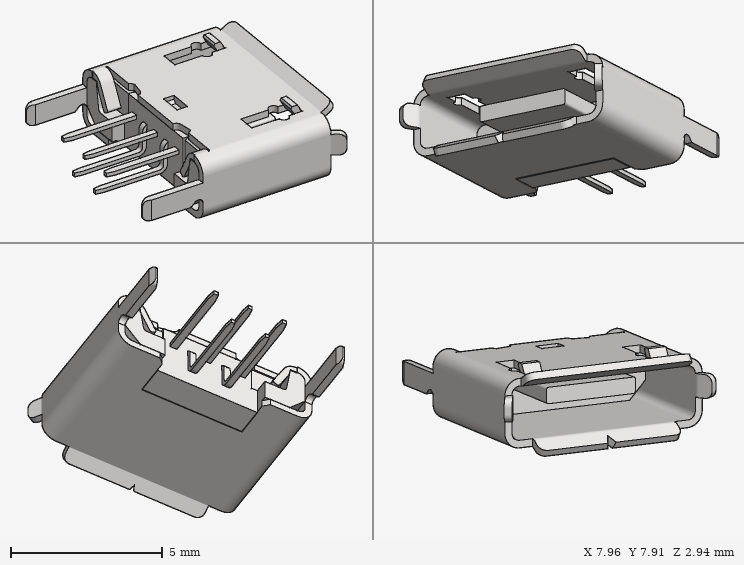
import cadquery as cq
import math


sheet = 0.26
shell_half_width = 3.71
shell_height = 2.365
shell_length = 5.015
corner_radius = 0.56
roof_z = shell_height - sheet
inner_half_width = shell_half_width - sheet

roof_end_y = -4.4
body_rear_y = -4.51
roof_overhang = 0.01
roof_centre_end_y = body_rear_y - roof_overhang
shell_rear_y = -shell_length
roof_flat_half_width = shell_half_width - corner_radius

notch_inner_x = 1.09
notch_arc_middle = (1.13, -4.39)
notch_arc_end = (1.225, -4.33)
notch_peak_x = 1.735
notch_peak_y = -4.25
notch_outer_x = 1.855

lip_bend_radius = 0.02
lip_angle = 31
lip_straight = 0.52
lip_corner_radius = 0.28
top_lip_width = 6.19
bottom_lip_width = 5.35
side_lip_width = 0.81
side_lip_z = 1.42
seam_half_width = 0.15

latch_x = 2.37
latch_width = 0.67
latch_front_y = -0.46
latch_rear_y = -2.47
latch_ear_y = -1.2
latch_ear_span = 1.0
latch_ear_height = 0.37
ground_tab_bend_radius = 0.08
ground_tab_angle = 60
ground_tab_straight = 0.48
ground_tab_top = 2.67
ground_tab_chamfer = 0.095

window_width = 0.835
window_front_y = -3.535
window_rear_y = -3.94
window_ramp = 0.11

leaf_bend_radius = corner_radius - sheet
leaf_angle = 62
leaf_straight = 0.95
leaf_front_y = -4.45
leaf_rear_y = -4.975
leaf_tip_radius = 0.08

tip_y = -7.32
taper_y = -7.03
leg_bottom = 0.79
leg_top = 1.585
leg_tip_thickness = 0.06
leg_tip_radius = 0.21
relief_radius = 0.2
relief_y = -5.205
relief_end_y = -5.485
relief_blend_angle = 30

housing_front_y = -3.49
wing_inset = 0.01
wing_rear_y = shell_rear_y + wing_inset
block_half_width = 1.91
block_drop = 0.03
wing_chamfer_width = 0.59
wing_chamfer_height = 0.62
pocket_inner_x = 1.68
pocket_corner_x = 2.72
pocket_outer_x = 2.89
pocket_floor_z = 1.02
pocket_corner_radius = 0.14
pocket_wall_y = -4.43
pocket_bevel_height = 0.095
pocket_bevel_front_y = -4.24
floor_notch_flare = 0.2
tongue_half_width = 1.67
tongue_front_y = -0.88
tongue_bottom = 1.155
tongue_top = 1.71
tongue_edge_radius = 0.08

pin_pitch = 0.65
pin_width = 0.23
outer_pin_width = 0.26
pin_thickness = 0.15
pin_tip_ratio = 0.6
upper_pin_top = 1.52
lower_pin_bottom = 0.36
pin_bend_inner = 0.15
pin_bend_outer = pin_bend_inner + pin_thickness
pin_drop_y = -4.54


def box(x0, x1, y0, y1, z0, z1):
    """Axis-aligned block between two opposite corners."""
    return cq.Workplane("XY").box(x1 - x0, y1 - y0, z1 - z0, centered=False).translate((x0, y0, z0))


def both_sides(solid):
    """The solid together with its mirror image across the YZ plane."""
    return solid.union(solid.mirror("YZ"))


def bent_strip(origin, along, outward, radius, angle, straight, width):
    """Sheet strip that starts along one direction and bends toward the outward direction."""
    along = cq.Vector(*along)
    outward = cq.Vector(*outward)
    plane = cq.Plane(origin=origin, xDir=along, normal=along.cross(outward))
    sine = math.sin(math.radians(angle))
    cosine = math.cos(math.radians(angle))
    half_sine = math.sin(math.radians(angle / 2))
    half_cosine = math.cos(math.radians(angle / 2))
    outer = radius + sheet
    bend_end = (radius * sine, radius * (1 - cosine))
    tip = (bend_end[0] + straight * cosine, bend_end[1] + straight * sine)
    return (
        cq.Workplane(plane)
        .threePointArc((radius * half_sine, radius * (1 - half_cosine)), bend_end)
        .lineTo(*tip)
        .lineTo(tip[0] + sheet * sine, tip[1] - sheet * cosine)
        .lineTo(outer * sine, radius - outer * cosine)
        .threePointArc((outer * half_sine, radius - outer * half_cosine), (0, -sheet))
        .close()
        .extrude(width / 2, both=True)
    )


def shell_envelope(inset):
    """Solid filling the shell outline, shrunk evenly by the inset."""
    half_width = shell_half_width - inset
    height = shell_height - 2 * inset
    return (
        box(-half_width, half_width, shell_rear_y, 0, inset, inset + height)
        .edges("|Y")
        .fillet(corner_radius - inset)
    )


def lip(origin, outward, width):
    """Flared lip with rounded tip corners, bent away from the mouth."""
    blank = bent_strip(origin, (0, 1, 0), outward, lip_bend_radius, lip_angle, lip_straight, width)
    turn = math.radians(lip_angle)
    across = cq.Vector(*outward) * math.cos(turn) - cq.Vector(0, 1, 0) * math.sin(turn)
    return blank.edges(cq.selectors.ParallelDirSelector(across)).fillet(lip_corner_radius)


def bottom_lip():
    """Lower lip with a small vee at its tip where the shell seam closes."""
    blank = lip((0, 0, 0), (0, 0, -1), bottom_lip_width)
    lip_reach = (lip_bend_radius + sheet) * math.sin(math.radians(lip_angle))
    lip_reach += lip_straight * math.cos(math.radians(lip_angle))
    vee = (
        cq.Workplane("XY")
        .polyline([
            (-seam_half_width, lip_reach),
            (0, lip_reach - 2 * seam_half_width),
            (seam_half_width, lip_reach),
        ])
        .close()
        .extrude(shell_height, both=True)
    )
    return blank.cut(vee)


def latch_window():
    """Slot through the roof with rounded ears beside the tab."""
    half = latch_width / 2
    slot = box(latch_x - half, latch_x + half, latch_rear_y, latch_front_y, roof_z, shell_height)
    ears = (
        cq.Workplane("XY", origin=(latch_x, latch_ear_y, roof_z))
        .slot2D(latch_ear_span, latch_ear_height)
        .extrude(sheet)
    )
    return slot.union(ears)


def ground_tab():
    """Tab bent up out of the front end of a latch window."""
    blank = bent_strip(
        (latch_x, latch_front_y, shell_height), (0, -1, 0), (0, 0, 1),
        ground_tab_bend_radius, ground_tab_angle, ground_tab_straight, latch_width,
    )
    envelope = box(0, shell_half_width, shell_rear_y, 0, 0, ground_tab_top)
    return blank.intersect(envelope).faces(">Z").edges("<Y").chamfer(ground_tab_chamfer)


def roof_rear_cut():
    """Material removed from the rear of the roof, including the two scalloped notches."""
    side = box(
        notch_outer_x, roof_flat_half_width, shell_rear_y, roof_end_y, roof_z, shell_height
    )
    centre = box(-notch_outer_x, notch_outer_x, shell_rear_y, roof_centre_end_y, roof_z, shell_height)
    notch = (
        cq.Workplane("XY", origin=(0, 0, roof_z))
        .moveTo(notch_inner_x, roof_centre_end_y)
        .threePointArc(notch_arc_middle, notch_arc_end)
        .lineTo(notch_peak_x, notch_peak_y)
        .lineTo(notch_outer_x, roof_end_y)
        .lineTo(notch_outer_x, roof_centre_end_y)
        .close()
        .extrude(sheet)
    )
    return both_sides(side.union(notch)).union(centre)


def floor_rear_cut():
    """Opening in the shell floor around the housing block, flared at the rear edge."""
    edge = block_half_width + floor_notch_flare
    return (
        cq.Workplane("XY")
        .polyline([
            (-block_half_width, housing_front_y),
            (block_half_width, housing_front_y),
            (block_half_width, shell_rear_y + floor_notch_flare),
            (edge, shell_rear_y),
            (-edge, shell_rear_y),
            (-block_half_width, shell_rear_y + floor_notch_flare),
        ])
        .close()
        .extrude(sheet)
    )


def leaf():
    """Retaining leaf folded from the roof down into the housing pocket."""
    centre_y = (leaf_front_y + leaf_rear_y) / 2
    blank = bent_strip(
        (roof_flat_half_width, centre_y, roof_z), (-1, 0, 0), (0, 0, -1),
        leaf_bend_radius, leaf_angle, leaf_straight, leaf_front_y - leaf_rear_y,
    )
    return blank.faces("<Z").edges("|Y").fillet(leaf_tip_radius)


def mounting_leg():
    """Leg continuing the side wall rearward, with a relief beside the shell edge."""
    relief_turn = math.radians(relief_blend_angle)
    side = (
        cq.Workplane("YZ")
        .moveTo(shell_rear_y, leg_top)
        .lineTo(tip_y + leg_tip_radius, leg_top)
        .radiusArc((tip_y, leg_top - leg_tip_radius), -leg_tip_radius)
        .lineTo(tip_y, leg_bottom + leg_tip_radius)
        .radiusArc((tip_y + leg_tip_radius, leg_bottom), -leg_tip_radius)
        .lineTo(relief_end_y, leg_bottom)
        .lineTo(
            relief_y - relief_radius * math.cos(relief_turn),
            leg_bottom + relief_radius * math.sin(relief_turn),
        )
        .threePointArc(
            (relief_y, leg_bottom + relief_radius),
            (relief_y + relief_radius, leg_bottom),
        )
        .lineTo(shell_rear_y, leg_bottom)
        .close()
        .extrude(shell_half_width)
    )
    centre_x = shell_half_width - sheet / 2
    return side.intersect(tapered_pin(centre_x, sheet, leg_tip_thickness, shell_rear_y, 0, shell_height))


def tapered_pin(x, width, tip_width, start_y, bottom, thickness):
    """Straight bar along -Y whose end tapers in plan."""
    half = width / 2
    tip_half = tip_width / 2
    return (
        cq.Workplane("XY", origin=(x, 0, bottom))
        .polyline([
            (-half, start_y),
            (-half, taper_y),
            (-tip_half, tip_y),
            (tip_half, tip_y),
            (half, taper_y),
            (half, start_y),
        ])
        .close()
        .extrude(thickness)
    )


def cranked_pin(x):
    """Pin that leaves the housing high, drops down its face and runs rearward low."""
    upper_centre = (pin_drop_y + pin_bend_inner, upper_pin_top - pin_bend_outer)
    lower_centre = (
        pin_drop_y - pin_thickness - pin_bend_inner,
        lower_pin_bottom + pin_bend_outer,
    )
    diagonal = math.sqrt(0.5)
    drop = (
        cq.Workplane("YZ")
        .moveTo(upper_centre[0], upper_pin_top)
        .threePointArc(
            (upper_centre[0] - pin_bend_outer * diagonal, upper_centre[1] + pin_bend_outer * diagonal),
            (upper_centre[0] - pin_bend_outer, upper_centre[1]),
        )
        .lineTo(lower_centre[0] + pin_bend_inner, lower_centre[1])
        .threePointArc(
            (lower_centre[0] + pin_bend_inner * diagonal, lower_centre[1] - pin_bend_inner * diagonal),
            (lower_centre[0], lower_centre[1] - pin_bend_inner),
        )
        .lineTo(lower_centre[0], lower_pin_bottom)
        .threePointArc(
            (lower_centre[0] + pin_bend_outer * diagonal, lower_centre[1] - pin_bend_outer * diagonal),
            (lower_centre[0] + pin_bend_outer, lower_centre[1]),
        )
        .lineTo(upper_centre[0] - pin_bend_inner, upper_centre[1])
        .threePointArc(
            (upper_centre[0] - pin_bend_inner * diagonal, upper_centre[1] + pin_bend_inner * diagonal),
            (upper_centre[0], upper_centre[1] + pin_bend_inner),
        )
        .close()
        .extrude(pin_width / 2, both=True)
        .translate((x, 0, 0))
    )
    run = tapered_pin(
        x, pin_width, pin_width * pin_tip_ratio, lower_centre[0], lower_pin_bottom, pin_thickness
    )
    return drop.union(run)


def housing_pocket():
    """Clearance in a housing wing for the retaining leaf."""
    pocket = (
        cq.Workplane("XZ", origin=(0, pocket_wall_y, 0))
        .polyline([
            (pocket_inner_x, pocket_floor_z),
            (pocket_corner_x, pocket_floor_z),
            (pocket_outer_x, roof_z),
            (pocket_inner_x, roof_z),
        ])
        .close()
        .extrude(pocket_wall_y - shell_rear_y)
    )
    pocket = pocket.edges("|Y").edges("<Z").edges(">X").fillet(pocket_corner_radius)
    bevel = (
        cq.Workplane("YZ", origin=(pocket_inner_x, 0, 0))
        .polyline([
            (pocket_wall_y, roof_z - pocket_bevel_height),
            (pocket_bevel_front_y, roof_z),
            (pocket_wall_y, roof_z),
        ])
        .close()
        .extrude(pocket_outer_x - pocket_inner_x)
    )
    return pocket.union(bevel)


def housing():
    """Insulating body closing the rear of the shell, with its contact tongue."""
    behind_front = box(
        -shell_half_width, shell_half_width, wing_rear_y, housing_front_y, 0, shell_height
    )
    body = shell_envelope(sheet).intersect(behind_front)
    corner = (
        cq.Workplane("XZ")
        .polyline([
            (inner_half_width, sheet),
            (inner_half_width - wing_chamfer_width, sheet),
            (inner_half_width, sheet + wing_chamfer_height),
        ])
        .close()
        .extrude(shell_length)
    )
    rear_gap = box(
        -block_half_width, block_half_width, shell_rear_y, body_rear_y, 0, shell_height
    )
    base = box(
        -block_half_width, block_half_width, body_rear_y, housing_front_y, -block_drop, sheet
    )
    tongue = box(
        -tongue_half_width, tongue_half_width, housing_front_y, tongue_front_y, tongue_bottom, tongue_top
    )
    tongue = tongue.edges("|Y").fillet(tongue_edge_radius)
    body = body.cut(both_sides(corner)).cut(rear_gap).cut(both_sides(housing_pocket()))
    return body.union(base).union(tongue)


def window_ramps():
    """Sloped fillers at both ends of the roof window."""
    edge = window_width / 2
    ramp = (
        cq.Workplane("XZ", origin=(0, window_front_y, 0))
        .polyline([
            (edge, roof_z),
            (edge - window_ramp, roof_z),
            (edge, roof_z + window_ramp),
        ])
        .close()
        .extrude(window_front_y - window_rear_y)
    )
    return both_sides(ramp)


shell = shell_envelope(0).cut(shell_envelope(sheet))
roof_window = box(
    -window_width / 2, window_width / 2, window_rear_y, window_front_y, roof_z, shell_height
)
shell = shell.cut(roof_window).cut(both_sides(latch_window()))
shell = shell.cut(roof_rear_cut()).cut(floor_rear_cut())

shell = shell.union(lip((0, 0, shell_height), (0, 0, 1), top_lip_width)).union(bottom_lip())
shell = shell.union(both_sides(lip((shell_half_width, 0, side_lip_z), (1, 0, 0), side_lip_width)))
for side_feature in (ground_tab(), leaf(), mounting_leg()):
    shell = shell.union(both_sides(side_feature))

result = shell.union(housing()).union(window_ramps())
straight_pins = ((-2, outer_pin_width), (0, pin_width), (2, outer_pin_width))
for step, width in straight_pins:
    pin = tapered_pin(
        step * pin_pitch, width, width * pin_tip_ratio, body_rear_y,
        upper_pin_top - pin_thickness, pin_thickness,
    )
    result = result.union(pin)
for step in (-1, 1):
    result = result.union(cranked_pin(step * pin_pitch))